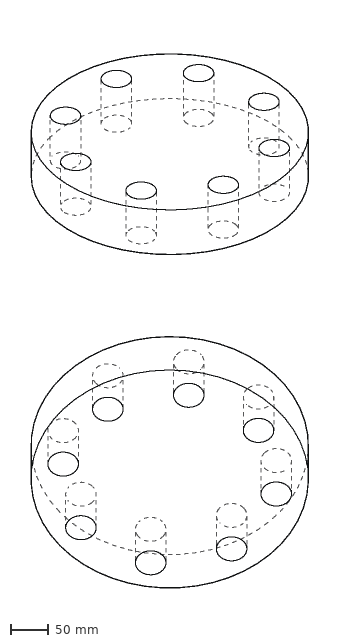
import cadquery as cq

flange_diameter = 374.5
flange_thickness = 73.0

bolt_count = 8
bolt_circle_diameter = 292.0
bolt_hole_diameter = 41.2


def flange_disc():
    """Disc resting on the XY plane, centred on the Z axis."""
    return cq.Workplane("XY").circle(flange_diameter / 2).extrude(flange_thickness)


def bolt_holes():
    """Through-hole cylinders evenly spaced on the bolt circle."""
    return (
        cq.Workplane("XY")
        .polarArray(bolt_circle_diameter / 2, 0, 360, bolt_count)
        .circle(bolt_hole_diameter / 2)
        .extrude(flange_thickness)
    )


result = flange_disc().cut(bolt_holes())